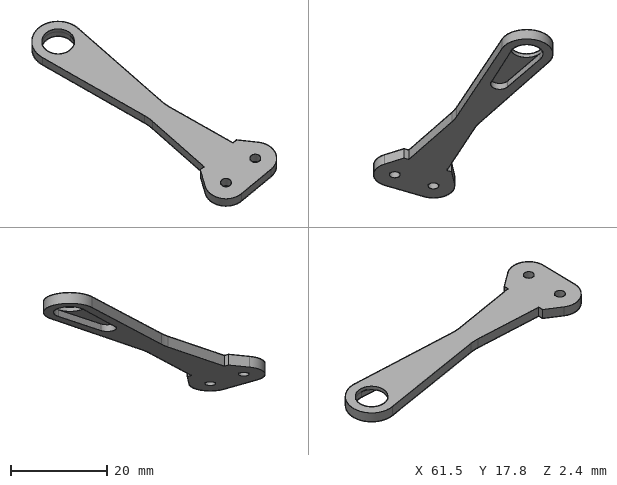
import cadquery as cq
import math

length = 61.5
thickness = 2.4

eye_radius = 5.5
eye_bore_diameter = 6.75

pocket_depth = 1.5
pocket_length = 12.3
pocket_tip_radius = 1.9

waist_x = 33.45
waist_half_width = 2.5
waist_fillet = 10.0

head_radius = 4.4
head_hole_offset = 4.5
head_hole_diameter = 2.2
shoulder_x = 50.8
shoulder_inner_y = 4.4
shoulder_outer_y = 5.55

bore_radius = eye_bore_diameter / 2
eye_x = eye_radius
head_hole_x = length - head_radius


def tangent_point(center, radius, point, side):
    """Touching point on a circle of the line from an outside point.

    side is +1 or -1: the turn from the center-to-point direction.
    """
    dx = point[0] - center[0]
    dy = point[1] - center[1]
    angle = math.atan2(dy, dx) + side * math.acos(radius / math.hypot(dx, dy))
    return (center[0] + radius * math.cos(angle), center[1] + radius * math.sin(angle))


def mirrored(point):
    return (point[0], -point[1])


def plate():
    waist = (waist_x, waist_half_width)
    shoulder_inner = (shoulder_x, shoulder_inner_y)
    shoulder_outer = (shoulder_x, shoulder_outer_y)
    eye_tangent = tangent_point((eye_x, 0), eye_radius, waist, 1)
    head_center = (head_hole_x, head_hole_offset)
    head_tangent = tangent_point(head_center, head_radius, shoulder_outer, -1)
    head_top = (head_hole_x, head_hole_offset + head_radius)
    head_side = (length, head_hole_offset)
    outline = (
        cq.Workplane("XY")
        .moveTo(*mirrored(eye_tangent))
        .threePointArc((0, 0), eye_tangent)
        .lineTo(*waist)
        .lineTo(*shoulder_inner)
        .lineTo(*shoulder_outer)
        .lineTo(*head_tangent)
        .threePointArc(head_top, head_side)
        .lineTo(*mirrored(head_side))
        .threePointArc(mirrored(head_top), mirrored(head_tangent))
        .lineTo(*mirrored(shoulder_outer))
        .lineTo(*mirrored(shoulder_inner))
        .lineTo(*mirrored(waist))
        .close()
    )
    body = outline.extrude(thickness)
    waist_edges = cq.selectors.BoxSelector(
        (waist_x - waist_fillet, -eye_radius, 0), (waist_x + waist_fillet, eye_radius, thickness)
    )
    return body.edges("|Z").edges(waist_edges).fillet(waist_fillet)


def round_hole(x, y, diameter):
    return cq.Workplane("XY").center(x, y).circle(diameter / 2).extrude(thickness)


def tapered_pocket():
    """Pocket bounded by the bore, a smaller tip circle and their common tangents."""
    tip_x = eye_x + pocket_length
    sine = (bore_radius - pocket_tip_radius) / pocket_length
    cosine = math.sqrt(1 - sine**2)
    bore_tangent = (eye_x + bore_radius * sine, bore_radius * cosine)
    tip_tangent = (tip_x + pocket_tip_radius * sine, pocket_tip_radius * cosine)
    return (
        cq.Workplane("XY")
        .moveTo(*mirrored(bore_tangent))
        .threePointArc((eye_x - bore_radius, 0), bore_tangent)
        .lineTo(*tip_tangent)
        .threePointArc((tip_x + pocket_tip_radius, 0), mirrored(tip_tangent))
        .close()
        .extrude(pocket_depth)
    )


result = plate().cut(round_hole(eye_x, 0, eye_bore_diameter)).cut(tapered_pocket())
for side in (1, -1):
    result = result.cut(round_hole(head_hole_x, side * head_hole_offset, head_hole_diameter))